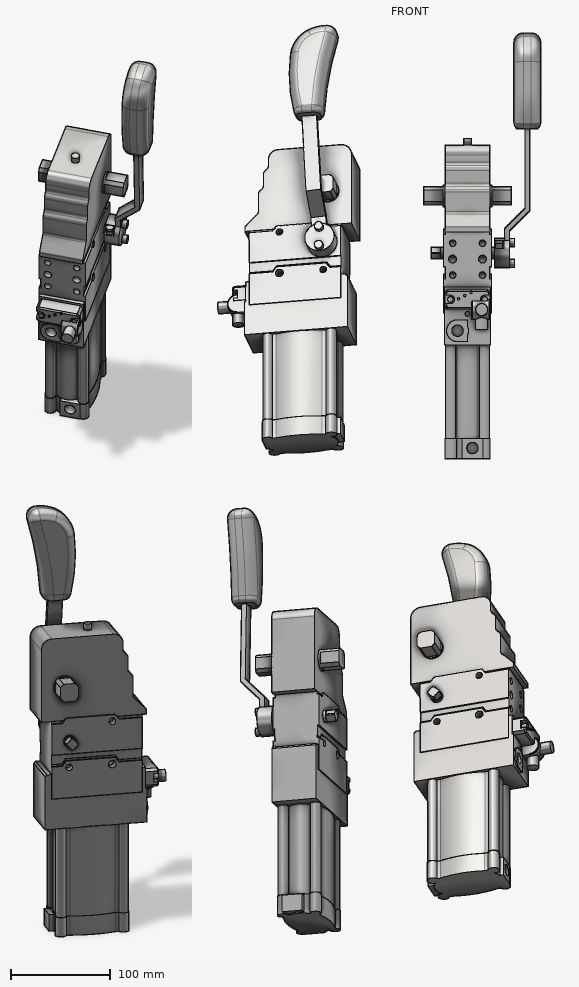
import cadquery as cq
import math


FRONT_Y = -80.5
BACK_Y = 13.0
FRAME_HALF_WIDTH = 22.0
HEAD_HALF_WIDTH = 22.5
PLATE_HALF_WIDTH = 24.2
BLOCK_HALF_WIDTH = 23.2
BLOCK_FRONT_Y = -85.5
BLOCK_BACK_Y = 19.8

HEAD_TOP_Z = 50.9
HEAD_BOTTOM_Z = -36.0
BLOCK_TOP_Z = -91.6
BLOCK_BOTTOM_Z = -149.4
CAP_TOP_Z = -243.4
CAP_BOTTOM_Z = -263.57

ARM_SHAFT_D = 22.0
ARM_SHAFT_HALF_LENGTH = 44.0
ARM_SHAFT_FLATS = 18.6

LEVER_AXIS = (-5.1, -57.3)
LEVER_SHAFT_D = 12.0
LEVER_SHAFT_HALF_LENGTH = 36.5
LEVER_SHAFT_FLATS = 9.4
LEVER_SHAFT_FLAT_LENGTH = 9.5


def box(x0, x1, y0, y1, z0, z1):
    return cq.Workplane("XY").box(x1 - x0, y1 - y0, z1 - z0, centered=False).translate((x0, y0, z0))


def bar_x(diameter, x0, x1, y, z):
    """Round bar along X."""
    return cq.Workplane("YZ", origin=(x0, y, z)).circle(diameter / 2).extrude(x1 - x0)


def bar_y(diameter, y0, y1, x, z):
    """Round bar along Y, from y1 forward to y0."""
    return cq.Workplane("XZ", origin=(x, y1, z)).circle(diameter / 2).extrude(y1 - y0)


def bar_z(diameter, z0, z1, x, y):
    """Round bar along Z."""
    return cq.Workplane("XY", origin=(x, y, z0)).circle(diameter / 2).extrude(z1 - z0)


def rounded_slab(corners, half_width):
    """Slab centred on X = 0 with an outline of (y, z, corner radius) points."""
    outline = cq.Workplane("YZ", origin=(-half_width, 0, 0))
    started = False
    for i, (y, z, radius) in enumerate(corners):
        corner = cq.Vector(y, z)
        before = cq.Vector(*corners[i - 1][:2])
        after = cq.Vector(*corners[(i + 1) % len(corners)][:2])
        to_before = (before - corner).normalized()
        to_after = (after - corner).normalized()
        half_angle = to_before.getAngle(to_after) / 2
        tangent = radius / math.tan(half_angle)
        start = corner + to_before * tangent
        outline = outline.lineTo(start.x, start.y) if started else outline.moveTo(start.x, start.y)
        started = True
        if radius > 0:
            bisector = (to_before + to_after).normalized()
            middle = corner + bisector * (radius / math.sin(half_angle) - radius)
            end = corner + to_after * tangent
            outline = outline.threePointArc((middle.x, middle.y), (end.x, end.y))
    return outline.close().extrude(2 * half_width)


def drilled_hole(diameter, depth):
    """Blind hole cutter with a drill point, opening at the origin and running along +Z."""
    radius = diameter / 2
    return (
        cq.Workplane("XZ")
        .polyline([(0, 0), (radius, 0), (radius, depth), (0, depth + radius)])
        .close()
        .revolve(360, (0, 0), (0, 1))
    )


STEP_CONCAVE_R = 5.0
STEP_CONVEX_R = 3.6
FOOT_FRONT_Y = -85.2
HEAD_BACK_Y = 23.6
HEAD_FRONT_Y = -61.2
HEAD_STEP = 5.1
HEAD_STEP_PITCH = 21.4
FIRST_STEP_Z = 32.0
SLOPE_TOP_Z = -17.0
HEAD_BACK_R = 11.0
HEAD_TOP_R = 10.0
FOOT_R = 1.0
EMBED = 1.0
TOP_PIN_D = 8.0
TOP_PIN_Y = -30.2
TOP_PIN_TOP_Z = 57.5

ARCH_BACK_Y = -1.6
ARCH_FRONT_Y = -52.7
ARCH_RUN = 3.9
ARCH_HEIGHT = 5.2
ARCH_CORNER_R = 1.0


def arch_outline(shoulder_z, bottom_z):
    """Plate outline whose top edge rises to a flat arch between two shoulders."""
    crest_z = shoulder_z + ARCH_HEIGHT
    return [
        (BACK_Y, bottom_z, 0),
        (BACK_Y, shoulder_z, 0),
        (ARCH_BACK_Y + ARCH_RUN, shoulder_z, ARCH_CORNER_R),
        (ARCH_BACK_Y, crest_z, ARCH_CORNER_R),
        (ARCH_FRONT_Y, crest_z, ARCH_CORNER_R),
        (ARCH_FRONT_Y - ARCH_RUN, shoulder_z, ARCH_CORNER_R),
        (FRONT_Y, shoulder_z, 0),
        (FRONT_Y, bottom_z, 0),
    ]


def make_head():
    outline = [
        (HEAD_BACK_Y, HEAD_BOTTOM_Z, 0),
        (HEAD_BACK_Y, HEAD_TOP_Z, HEAD_BACK_R),
        (HEAD_FRONT_Y, HEAD_TOP_Z, HEAD_TOP_R),
    ]
    face_y = HEAD_FRONT_Y
    for step in range(2):
        step_z = FIRST_STEP_Z - step * HEAD_STEP_PITCH
        outline.append((face_y, step_z, STEP_CONCAVE_R))
        face_y -= HEAD_STEP
        outline.append((face_y, step_z - HEAD_STEP, STEP_CONVEX_R))
    slope_run = face_y - FOOT_FRONT_Y
    outline += [
        (face_y, SLOPE_TOP_Z, STEP_CONVEX_R),
        (FOOT_FRONT_Y, SLOPE_TOP_Z - slope_run, FOOT_R),
        (FOOT_FRONT_Y, HEAD_BOTTOM_Z, 0),
    ]
    head = rounded_slab(outline, HEAD_HALF_WIDTH)
    top_pin = bar_z(TOP_PIN_D, HEAD_TOP_Z - EMBED, TOP_PIN_TOP_Z, 0, TOP_PIN_Y)
    return head.union(top_pin)


UPPER_PLATE_SHOULDER_Z = -38.6
UPPER_PLATE_BOTTOM_Z = -71.2
LOWER_PLATE_SHOULDER_Z = -83.6
LOWER_PLATE_BOTTOM_Z = -117.3
BAND_GAP = 2.0
THREAD_HOLE_D = 6.65
DOWEL_HOLE_D = 7.9
HOLE_DEPTH = 10.0
FRONT_HOLE_X = 15.0
FRONT_HOLE_Z = -63.4
FRONT_HOLE_PITCH = 16.0
SIDE_HOLE_BACK_Y = -4.8
SIDE_HOLE_FRONT_Y = -49.6
SIDE_HOLE_UPPER_Z = -40.2
SIDE_HOLE_LOWER_Z = -85.2


def make_frame():
    frame = box(-FRAME_HALF_WIDTH, FRAME_HALF_WIDTH, FRONT_Y, BACK_Y, BLOCK_BOTTOM_Z, HEAD_BOTTOM_Z)
    upper_plate = rounded_slab(arch_outline(UPPER_PLATE_SHOULDER_Z, UPPER_PLATE_BOTTOM_Z), PLATE_HALF_WIDTH)
    lower_plate = rounded_slab(arch_outline(LOWER_PLATE_SHOULDER_Z, LOWER_PLATE_BOTTOM_Z), PLATE_HALF_WIDTH)
    band = box(-HEAD_HALF_WIDTH, HEAD_HALF_WIDTH, FRONT_Y, BACK_Y, LOWER_PLATE_BOTTOM_Z, UPPER_PLATE_BOTTOM_Z)
    recess = rounded_slab(
        arch_outline(LOWER_PLATE_SHOULDER_Z + BAND_GAP, LOWER_PLATE_BOTTOM_Z), HEAD_HALF_WIDTH
    )
    return frame.union(band.cut(recess)).union(upper_plate).union(lower_plate)


def cut_frame_holes(body):
    front_rows = [
        (FRONT_HOLE_Z + FRONT_HOLE_PITCH, THREAD_HOLE_D),
        (FRONT_HOLE_Z, DOWEL_HOLE_D),
        (FRONT_HOLE_Z - FRONT_HOLE_PITCH, THREAD_HOLE_D),
    ]
    for z, diameter in front_rows:
        hole = drilled_hole(diameter, HOLE_DEPTH).rotate((0, 0, 0), (1, 0, 0), -90)
        for x in (-FRONT_HOLE_X, FRONT_HOLE_X):
            body = body.cut(hole.translate((x, FRONT_Y, z)))
    side_holes = [
        (SIDE_HOLE_FRONT_Y, SIDE_HOLE_UPPER_Z, THREAD_HOLE_D),
        (SIDE_HOLE_BACK_Y, SIDE_HOLE_LOWER_Z, THREAD_HOLE_D),
        (SIDE_HOLE_FRONT_Y, SIDE_HOLE_LOWER_Z, DOWEL_HOLE_D),
    ]
    for y, z, diameter in side_holes:
        for side in (-1, 1):
            hole = drilled_hole(diameter, HOLE_DEPTH).rotate((0, 0, 0), (0, 1, 0), -90 * side)
            body = body.cut(hole.translate((side * PLATE_HALF_WIDTH, y, z)))
    return body


PORT_D = 11.45
PORT_DEPTH = 12.0
PLUG_HOLE_DEPTH = 6.0
PORT_BOSS_D = 22.0
PORT_BOSS_HEIGHT = 1.5
PORT_X = -10.0
PORT_Z = -135.2
PLUG_HOLE_D = 5.0
PLUG_HOLE_Z = -118.3
BLOCK_STEP_Z = -113.4
BLOCK_STEP = 1.2
BLOCK_CHAMFER = 2.0


def make_cylinder_head():
    half_width = BLOCK_HALF_WIDTH
    block = box(-half_width, half_width, BLOCK_FRONT_Y, BLOCK_BACK_Y, BLOCK_BOTTOM_Z, BLOCK_TOP_Z)
    block = block.edges(">Y and >Z").chamfer(BLOCK_CHAMFER)
    step = box(-half_width, half_width, BLOCK_FRONT_Y, BLOCK_FRONT_Y + BLOCK_STEP, BLOCK_STEP_Z, BLOCK_TOP_Z)
    boss_front_y = BLOCK_FRONT_Y - PORT_BOSS_HEIGHT
    boss_radius = PORT_BOSS_D / 2
    round_boss = bar_y(PORT_BOSS_D, boss_front_y, BLOCK_FRONT_Y, PORT_X, PORT_Z)
    square_boss = box(PORT_X, 0, boss_front_y, BLOCK_FRONT_Y, PORT_Z - boss_radius, PORT_Z + boss_radius)
    return block.cut(step).union(round_boss).union(square_boss)


def cut_block_ports(body):
    boss_front_y = BLOCK_FRONT_Y - PORT_BOSS_HEIGHT
    body = body.cut(bar_y(PORT_D, boss_front_y, boss_front_y + PORT_DEPTH, PORT_X, PORT_Z))
    return body.cut(bar_y(PLUG_HOLE_D, BLOCK_FRONT_Y, BLOCK_FRONT_Y + PLUG_HOLE_DEPTH, 0, PLUG_HOLE_Z))


BARREL_Y = -30.3
COLUMN_D = 10.5
COLUMN_X = 17.0
COLUMN_Y = 32.3
SIDE_ARC_X = 19.0
SIDE_ARC_Y = 23.5
SIDE_BULGE_X = 22.2
SIDE_FLAT_Y = 27.4
END_ARC_X = 10.5
END_ARC_Y = 31.5
END_BULGE_Y = 35.5
CAP_GROWTH = 0.5
CAP_PORT_X = 4.9
CAP_PORT_Z = -252.8
CAP_PAD_HALF_WIDTH = 10.4
CAP_FRONT_Y = -68.9
CAP_BACK_PAD_Y = 11.0
CAP_PAD_EDGE = 1.3


def barrel_profile(z0, z1, growth):
    """Barrel section between two heights, grown outward all round."""
    side_x = SIDE_ARC_X + growth
    end_y = END_ARC_Y + growth
    bulge_x = SIDE_BULGE_X + growth / 2
    bulge_y = END_BULGE_Y + growth
    barrel = (
        cq.Workplane("XY", origin=(0, BARREL_Y, z0))
        .moveTo(side_x, -SIDE_FLAT_Y)
        .lineTo(side_x, -SIDE_ARC_Y)
        .threePointArc((bulge_x, 0), (side_x, SIDE_ARC_Y))
        .lineTo(side_x, SIDE_FLAT_Y)
        .lineTo(END_ARC_X, end_y)
        .threePointArc((0, bulge_y), (-END_ARC_X, end_y))
        .lineTo(-side_x, SIDE_FLAT_Y)
        .lineTo(-side_x, SIDE_ARC_Y)
        .threePointArc((-bulge_x, 0), (-side_x, -SIDE_ARC_Y))
        .lineTo(-side_x, -SIDE_FLAT_Y)
        .lineTo(-END_ARC_X, -end_y)
        .threePointArc((0, -bulge_y), (END_ARC_X, -end_y))
        .close()
        .extrude(z1 - z0)
    )
    for x in (-COLUMN_X, COLUMN_X):
        for y in (-COLUMN_Y, COLUMN_Y):
            barrel = barrel.union(bar_z(COLUMN_D + 2 * growth, z0, z1, x, BARREL_Y + y))
    return barrel


def make_barrel():
    barrel = barrel_profile(CAP_TOP_Z, BLOCK_BOTTOM_Z, 0)
    cap = barrel_profile(CAP_BOTTOM_Z, CAP_TOP_Z, CAP_GROWTH)
    pad_left = CAP_PORT_X - CAP_PAD_HALF_WIDTH
    pad_right = CAP_PORT_X + CAP_PAD_HALF_WIDTH
    front_pad = box(pad_left, pad_right, CAP_FRONT_Y, BARREL_Y, CAP_BOTTOM_Z, CAP_TOP_Z)
    back_pad = box(
        pad_left, pad_right, BARREL_Y, CAP_BACK_PAD_Y, CAP_BOTTOM_Z + CAP_PAD_EDGE, CAP_TOP_Z - CAP_PAD_EDGE
    )
    port = bar_y(PORT_D, CAP_FRONT_Y, CAP_FRONT_Y + PORT_DEPTH, CAP_PORT_X, CAP_PORT_Z)
    return barrel.union(cap).union(front_pad).union(back_pad).cut(port)


COVER_HALF_WIDTH = 22.5
COVER_FRONT_Y = -98.3
COVER_TOP_Z = -94.2
COVER_SIDE_CHAMFER = 2.6
COVER_FRONT_CHAMFER = 1.5
SCREW_X = 17.3
SCREW_Z = -103.8
SCREW_HEAD_D = 5.49
SCREW_RECESS_D = 8.5
SCREW_RECESS_DEPTH = 5.4
LAMP_D = 2.4
LAMP_DEPTH = 1.0
LAMP_POSITIONS = [(-9, -103.2), (-2.8, -100.0), (3.5, -96.8)]
PLUG_D = 12.0
PLUG_X = 14.2
PLUG_END_Y = -113.57
PLUG_BOTTOM_Z = -134.2
ELBOW_Y = -93.3
ELBOW_Z = -114.0
ELBOW_R = 10.0
ELBOW_X = (4.2, 22.3)
ELBOW_CHAMFER = 0.8


def make_sensor():
    cover_back_y = BLOCK_FRONT_Y + BLOCK_STEP
    cover = box(-COVER_HALF_WIDTH, COVER_HALF_WIDTH, COVER_FRONT_Y, cover_back_y, BLOCK_STEP_Z, COVER_TOP_Z)
    cover = cover.edges("|Y").chamfer(COVER_SIDE_CHAMFER)
    cover = cover.faces("<Y").edges().chamfer(COVER_FRONT_CHAMFER)
    recess_bottom_y = COVER_FRONT_Y + SCREW_RECESS_DEPTH
    recess_r = SCREW_RECESS_D / 2
    for side in (-1, 1):
        inner_x, outer_x = sorted((side * SCREW_X, side * COVER_HALF_WIDTH))
        cover = cover.cut(bar_y(SCREW_RECESS_D, COVER_FRONT_Y, recess_bottom_y, side * SCREW_X, SCREW_Z))
        cover = cover.cut(
            box(inner_x, outer_x, COVER_FRONT_Y, recess_bottom_y, SCREW_Z - recess_r, SCREW_Z + recess_r)
        )
        cover = cover.union(bar_y(SCREW_HEAD_D, COVER_FRONT_Y, recess_bottom_y, side * SCREW_X, SCREW_Z))
    for x, z in LAMP_POSITIONS:
        cover = cover.cut(bar_y(LAMP_D, COVER_FRONT_Y, COVER_FRONT_Y + LAMP_DEPTH, x, z))

    knuckle = bar_x(2 * ELBOW_R, *ELBOW_X, ELBOW_Y, ELBOW_Z).edges().chamfer(ELBOW_CHAMFER)
    mount = box(*ELBOW_X, ELBOW_Y, BLOCK_FRONT_Y, ELBOW_Z - ELBOW_R, ELBOW_Z + ELBOW_R)
    front_plug = bar_y(PLUG_D, PLUG_END_Y, ELBOW_Y, PLUG_X, ELBOW_Z)
    lower_plug = bar_z(PLUG_D, PLUG_BOTTOM_Z, ELBOW_Z, PLUG_X, ELBOW_Y)
    return cover.union(knuckle).union(mount).union(front_plug).union(lower_plug)


def make_housing():
    body = make_head().union(make_frame()).union(make_cylinder_head())
    body = cut_frame_holes(body)
    body = cut_block_ports(body)
    body = body.union(make_barrel()).union(make_sensor())
    arm_bore = bar_x(ARM_SHAFT_D, -HEAD_HALF_WIDTH, HEAD_HALF_WIDTH, 0, 0)
    lever_bore = bar_x(LEVER_SHAFT_D, -PLATE_HALF_WIDTH, PLATE_HALF_WIDTH, *LEVER_AXIS)
    return body.cut(arm_bore).cut(lever_bore)


ARM_COLLAR_HALF_LENGTH = 24.5


def make_arm_shaft():
    shaft = bar_x(ARM_SHAFT_D, -ARM_SHAFT_HALF_LENGTH, ARM_SHAFT_HALF_LENGTH, 0, 0)
    flat_section = cq.Workplane("YZ").rect(ARM_SHAFT_FLATS, ARM_SHAFT_FLATS)
    square = flat_section.extrude(ARM_SHAFT_HALF_LENGTH, both=True)
    collar = bar_x(ARM_SHAFT_D, -ARM_COLLAR_HALF_LENGTH, ARM_COLLAR_HALF_LENGTH, 0, 0)
    return shaft.intersect(square).union(collar)


def make_lever_shaft():
    shaft = bar_x(LEVER_SHAFT_D, -LEVER_SHAFT_HALF_LENGTH, LEVER_SHAFT_HALF_LENGTH, 0, 0)
    square = (
        cq.Workplane("YZ")
        .rect(LEVER_SHAFT_FLATS, LEVER_SHAFT_FLATS)
        .extrude(LEVER_SHAFT_HALF_LENGTH, both=True)
        .rotate((0, 0, 0), (1, 0, 0), 45)
    )
    round_half_length = LEVER_SHAFT_HALF_LENGTH - LEVER_SHAFT_FLAT_LENGTH
    middle = bar_x(LEVER_SHAFT_D, -round_half_length, round_half_length, 0, 0)
    return shaft.intersect(square).union(middle).translate((0, *LEVER_AXIS))


HUB_D = 30.0
HUB_X = (26.8, 42.3)
HUB_SCREW_D = 8.5
HUB_SCREW_END_X = 47.3
HUB_SCREW_OFFSET = 10.3
POCKET_X = 36.6
POCKET_Y = -8.0
POCKET_FLOOR_Z = -53.0
CLAMP_SCREW_X = 31.7
CLAMP_SCREW_Y = -15.6
CLAMP_SCREW_D = 7.0
CLAMP_HEAD_D = 7.9
CLAMP_HEAD_Z = (-48.0, -45.0)

BAR_THICKNESS = 5.2
BAR_WIDTH = 15.0
BAR_TILT = 3.0
BAR_LOWER_X = 36.9
BAR_UPPER_X = 57.4
BAR_BEND_Z = -33.0
BAR_TOP_Z = 78.0

GRIP_X = 59.9
GRIP_HALF_THICKNESS = 13.6
GRIP_ROUND = 10.0
GRIP_EDGE_R = 9.9
GRIP_FLAT_Z = 67.2
GRIP_BACK_FOOT = (-7.1, 74.4)
GRIP_BACK_CURVE = (-1.9, 117.0)
GRIP_TIP = (6.8, 153.4)
GRIP_CROWN_CURVE = (-0.9, 152.9)
GRIP_CROWN_END = (-8.0, 150.7)
GRIP_SHOULDER_CURVE = (-16.4, 143.7)
GRIP_SHOULDER_END = (-20.5, 133.4)
GRIP_FRONT_CURVE = (-21.6, 108.0)
GRIP_FRONT_FOOT = (-17.2, 74.4)


def make_hub():
    hub = bar_x(HUB_D, *HUB_X, *LEVER_AXIS)
    pocket = box(
        HUB_X[0], POCKET_X, LEVER_AXIS[0] - HUB_D / 2, LEVER_AXIS[0] + POCKET_Y,
        POCKET_FLOOR_Z, LEVER_AXIS[1] + HUB_D / 2,
    )
    hub = hub.cut(pocket)
    shank_bottom_z = POCKET_FLOOR_Z - EMBED
    clamp_shank = bar_z(CLAMP_SCREW_D, shank_bottom_z, CLAMP_HEAD_Z[0], CLAMP_SCREW_X, CLAMP_SCREW_Y)
    clamp_head = bar_z(CLAMP_HEAD_D, *CLAMP_HEAD_Z, CLAMP_SCREW_X, CLAMP_SCREW_Y)
    hub = hub.union(clamp_shank.union(clamp_head))
    for offset in (-HUB_SCREW_OFFSET, HUB_SCREW_OFFSET):
        screw = bar_x(HUB_SCREW_D, HUB_X[1] - EMBED, HUB_SCREW_END_X, LEVER_AXIS[0], LEVER_AXIS[1] + offset)
        hub = hub.union(screw)
    return hub


def make_bar():
    """Flat bar offset sideways by two 45 degree bends."""
    mitre = BAR_THICKNESS * math.tan(math.radians(22.5))
    bend_rise = BAR_UPPER_X - BAR_LOWER_X
    bar = (
        cq.Workplane("XZ")
        .moveTo(BAR_LOWER_X, LEVER_AXIS[1])
        .lineTo(BAR_LOWER_X, BAR_BEND_Z)
        .lineTo(BAR_UPPER_X, BAR_BEND_Z + bend_rise)
        .lineTo(BAR_UPPER_X, BAR_TOP_Z)
        .lineTo(BAR_UPPER_X + BAR_THICKNESS, BAR_TOP_Z)
        .lineTo(BAR_UPPER_X + BAR_THICKNESS, BAR_BEND_Z + bend_rise - mitre)
        .lineTo(BAR_LOWER_X + BAR_THICKNESS, BAR_BEND_Z - mitre)
        .lineTo(BAR_LOWER_X + BAR_THICKNESS, LEVER_AXIS[1])
        .close()
        .extrude(BAR_WIDTH / 2, both=True)
        .translate((0, LEVER_AXIS[0], 0))
    )
    return bar.rotate((0, *LEVER_AXIS), (1, *LEVER_AXIS), BAR_TILT)


def make_grip():
    """Grip rounded all over: its flat side faces lie one rounding radius inside the outline."""
    blank = (
        cq.Workplane("YZ", origin=(GRIP_X - GRIP_HALF_THICKNESS, 0, 0))
        .moveTo(*GRIP_BACK_FOOT)
        .threePointArc(GRIP_BACK_CURVE, GRIP_TIP)
        .threePointArc(GRIP_CROWN_CURVE, GRIP_CROWN_END)
        .threePointArc(GRIP_SHOULDER_CURVE, GRIP_SHOULDER_END)
        .threePointArc(GRIP_FRONT_CURVE, GRIP_FRONT_FOOT)
        .close()
        .offset2D(GRIP_ROUND, "arc")
        .extrude(2 * GRIP_HALF_THICKNESS)
    )
    grip = blank.faces("<X or >X").edges().fillet(GRIP_EDGE_R)
    below_flat = box(
        GRIP_X - GRIP_HALF_THICKNESS, GRIP_X + GRIP_HALF_THICKNESS,
        GRIP_FRONT_FOOT[0] - GRIP_ROUND, GRIP_BACK_FOOT[0] + GRIP_ROUND,
        GRIP_FLAT_Z - GRIP_ROUND, GRIP_FLAT_Z,
    )
    return grip.cut(below_flat)


def make_lever():
    lever = make_hub().union(make_bar()).union(make_grip())
    return lever.cut(make_lever_shaft())


housing = make_housing()
arm_shaft = make_arm_shaft()
lever_shaft = make_lever_shaft()
lever = make_lever()

result = cq.Compound.makeCompound([
    housing.solids().val(),
    arm_shaft.solids().val(),
    lever_shaft.solids().val(),
    lever.solids().val(),
])